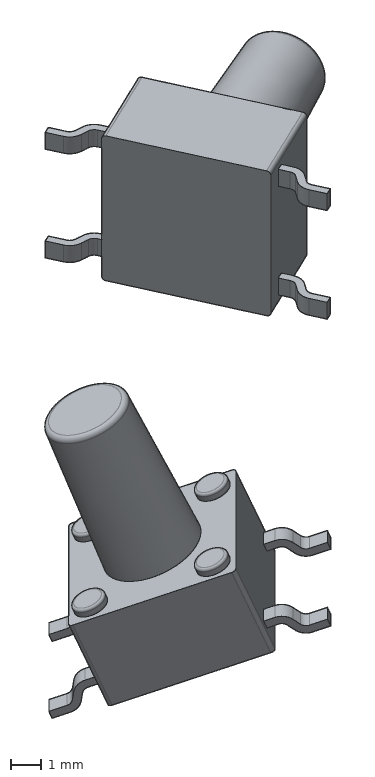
import cadquery as cq
import math

overall_length = 10.0
body_side = 6.0
body_height = 3.5
body_corner_radius = 0.15

overall_height = 9.5
plunger_base_radius = 1.75
plunger_tip_radius = 1.5
plunger_tip_fillet = 0.2

post_radius = 0.6
post_height = 0.3
post_edge_fillet = 0.1
post_offset = 2.2

lead_thickness = 0.3
lead_width = 0.7
lead_offset = 2.25
lead_rise = 0.72
foot_length = 0.65
bend_angle = math.radians(60)
bend_inner_radius = 0.3
bend_outer_radius = bend_inner_radius + lead_thickness


def on_y_plane(height):
    """Workplane at the given Y, facing +Y, with its local y along -Z."""
    return cq.Workplane("XZ", origin=(0, height, 0)).transformed(rotate=(180, 0, 0))


def make_body():
    block = cq.Workplane("XY").box(body_side, body_height, body_side, centered=(True, False, True))
    return block.edges("|Y").fillet(body_corner_radius)


def make_plunger():
    cone = (
        on_y_plane(body_height)
        .circle(plunger_base_radius)
        .workplane(offset=overall_height - body_height)
        .circle(plunger_tip_radius)
        .loft(ruled=True)
    )
    return cone.faces(">Y").edges().fillet(plunger_tip_fillet)


def make_posts():
    posts = (
        on_y_plane(body_height)
        .rect(2 * post_offset, 2 * post_offset, forConstruction=True)
        .vertices()
        .circle(post_radius)
        .extrude(post_height)
    )
    return posts.faces(">Y").edges().fillet(post_edge_fillet)


def make_left_lead():
    """S-bent strip on the -X side, centred on Z = 0."""
    foot_end = -overall_length / 2
    body_wall = -body_side / 2
    miter = math.tan(bend_angle / 2)

    lower_bend = foot_end + foot_length + bend_outer_radius * miter
    upper_bend = lower_bend + lead_rise / math.tan(bend_angle)
    shift = lead_thickness * miter
    lead_top = lead_rise + lead_thickness

    outer_corners = [(lower_bend, 0), (upper_bend - shift, lead_top)]
    inner_corners = [(lower_bend - shift, lead_thickness), (upper_bend, lead_rise)]
    lead = (
        cq.Workplane("XY")
        .polyline([
            (foot_end, 0),
            outer_corners[0],
            inner_corners[1],
            (body_wall, lead_rise),
            (body_wall, lead_top),
            outer_corners[1],
            inner_corners[0],
            (foot_end, lead_thickness),
        ])
        .close()
        .extrude(lead_width / 2, both=True)
    )
    for corners, radius in ((outer_corners, bend_outer_radius), (inner_corners, bend_inner_radius)):
        for x, y in corners:
            lead = lead.edges(cq.selectors.NearestToPointSelector((x, y, 0))).fillet(radius)
    return lead


result = make_body().union(make_plunger()).union(make_posts())

left_lead = make_left_lead()
right_lead = left_lead.mirror("YZ")
for z in (-lead_offset, lead_offset):
    for lead in (left_lead, right_lead):
        result = result.union(lead.translate((0, 0, z)))